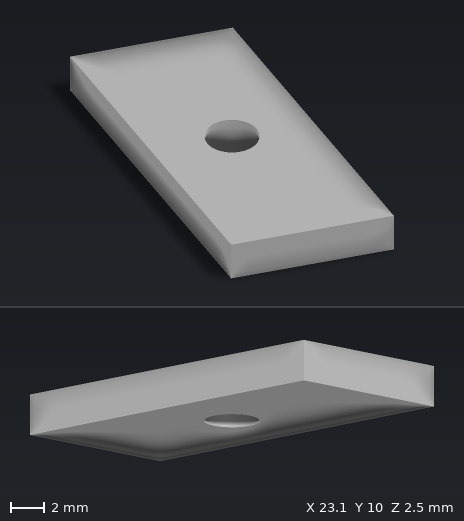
import cadquery as cq
import math

length = 23.1
width = 10.0
thickness = 2.5
end_angle = 10.0
hole_diameter = 3.3

slant_offset = width * math.tan(math.radians(end_angle))

half_length = length / 2
half_width = width / 2

plate = (
    cq.Workplane("XY")
    .moveTo(-half_length, -half_width)
    .lineTo(half_length - slant_offset, -half_width)
    .lineTo(half_length, half_width)
    .lineTo(-half_length + slant_offset, half_width)
    .close()
    .extrude(thickness)
)

result = plate.faces(">Z").workplane(origin=(0, 0, thickness)).hole(hole_diameter)